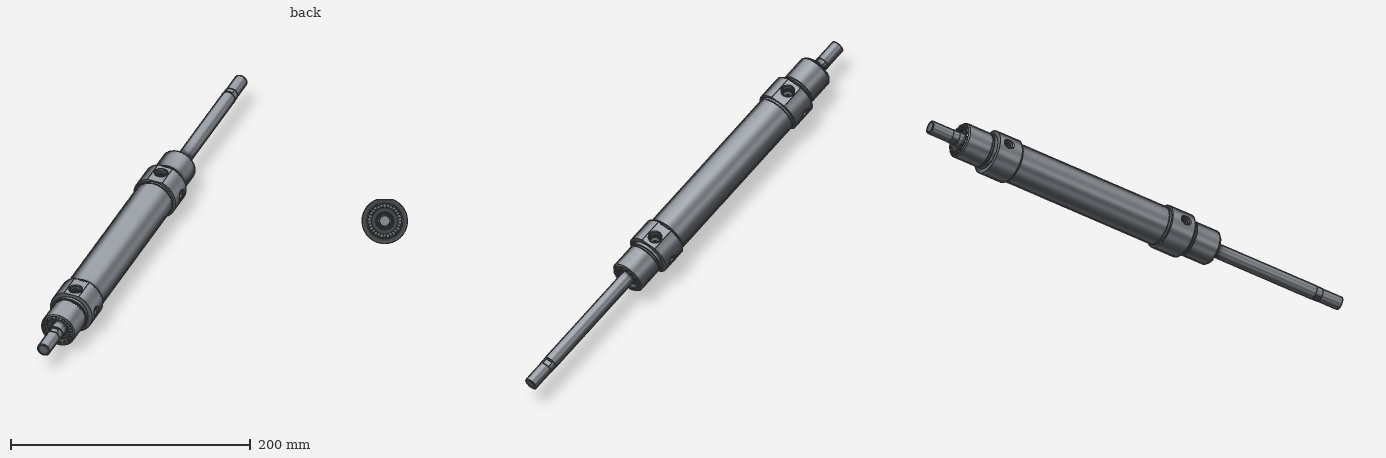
import cadquery as cq
import math


OVERALL_LENGTH = 412
OVERALL_HEIGHT = 36.5
LONG_ROD_LENGTH = 256.0
SHORT_ROD_LENGTH = OVERALL_LENGTH - LONG_ROD_LENGTH

ROD_D = 12.0
NECK_D = 11.5
THREAD_D = 11.0
TIP_D = 8.5
TIP_CHAMFER_LENGTH = 0.5
THREAD_LENGTH = 20.0
NECK_LENGTH = 6.0
FLATS_LENGTH = 5.0
FLATS_ACROSS = 10.0

TUBE_D = 33.8
TUBE_BORE_D = 32.0
TUBE_LENGTH = 147.5

LIP_START = TUBE_LENGTH / 2
COLLAR_START = 76.0
COLLAR_END = 98.0
GROOVE_START = 101.0
GROOVE_END = 103
NOSE_END = 127.7

COLLAR_D = 38.0
NOSE_D = 30.0
GROOVE_D = 28.0
RECESS_D = 22.0
RIM_D = 28.0
RIM_HEIGHT = 1.2
NOSE_CHAMFER = (NOSE_D - RIM_D) / 2
RIM_START = NOSE_END - RIM_HEIGHT
RECESS_DEPTH = 5.0
SEAL_SEAT_D = 15.2
SEAL_SEAT_DEPTH = 1.2
ROD_CLEARANCE_D = 13.0
ROD_CLEARANCE_DEPTH = 4

SLOT_COUNT = 15
SLOT_ANGLE = 180 / SLOT_COUNT

COLLAR_FLAT_Z = OVERALL_HEIGHT - COLLAR_D / 2
HOLES_Y = 89.0
PORT_RIM_D = 11.5
PORT_D = 10.0
PORT_DEPTH = 5.0
PORT_DRILL_D = 8.5
PORT_DRILL_DEPTH = 8.2
AIR_PASSAGE_D = 3.0
MOUNT_RIM_D = 10.0
MOUNT_D = 8.0
MOUNT_DEPTH = 3.5
MOUNT_DRILL_D = 7.0
MOUNT_DRILL_DEPTH = 6.0


def turned(profile):
    """Solid of revolution about Y from (radius, y) points; the outline is closed along the axis."""
    first_y = profile[0][1]
    last_y = profile[-1][1]
    outline = [(0, first_y), *profile, (0, last_y)]
    return cq.Workplane("XY").polyline(outline).close().revolve(360, (0, 0, 0), (0, 1, 0))


def cylinder(diameter, start, end):
    """Cylinder on the Y axis."""
    return turned([(diameter / 2, start), (diameter / 2, end)])


def make_tube():
    half = TUBE_LENGTH / 2
    return cylinder(TUBE_D, -half, half).cut(cylinder(TUBE_BORE_D, -half, half))


def make_rod(length):
    """Rod from the middle of the cylinder to its threaded tip, with two wrench flats on the neck."""
    thread_start = length - THREAD_LENGTH
    neck_start = thread_start - NECK_LENGTH
    rod = turned([
        (ROD_D / 2, 0),
        (ROD_D / 2, neck_start),
        (NECK_D / 2, neck_start),
        (NECK_D / 2, thread_start),
        (THREAD_D / 2, thread_start),
        (THREAD_D / 2, length - TIP_CHAMFER_LENGTH),
        (TIP_D / 2, length),
    ])
    around_neck = cq.Workplane("XY").box(ROD_D, FLATS_LENGTH, ROD_D)
    between_flats = cq.Workplane("XY").box(ROD_D, FLATS_LENGTH, FLATS_ACROSS)
    flats_y = thread_start - FLATS_LENGTH / 2
    return rod.cut(around_neck.cut(between_flats).translate((0, flats_y, 0)))


def make_head_blank():
    """Turned outside of a head: lip, collar, relief groove and chamfered nose up to its rounded rim."""
    return turned([
        (TUBE_D / 2, LIP_START),
        (TUBE_D / 2, COLLAR_START),
        (COLLAR_D / 2, COLLAR_START),
        (COLLAR_D / 2, COLLAR_END),
        (NOSE_D / 2, COLLAR_END),
        (NOSE_D / 2, GROOVE_START),
        (GROOVE_D / 2, GROOVE_START),
        (GROOVE_D / 2, GROOVE_END),
        (NOSE_D / 2, GROOVE_END),
        (NOSE_D / 2, RIM_START - NOSE_CHAMFER),
        (RIM_D / 2, RIM_START),
    ])


def make_head_bore():
    """Rod hole widening through the seal seat into the recess of the nose."""
    recess_floor = NOSE_END - RECESS_DEPTH
    clearance_floor = recess_floor - ROD_CLEARANCE_DEPTH
    return turned([
        (ROD_D / 2, LIP_START),
        (ROD_D / 2, clearance_floor),
        (ROD_CLEARANCE_D / 2, clearance_floor),
        (ROD_CLEARANCE_D / 2, recess_floor - SEAL_SEAT_DEPTH),
        (SEAL_SEAT_D / 2, recess_floor),
        (RECESS_D / 2, recess_floor),
        (RECESS_D / 2, NOSE_END),
    ])


def make_rim_slots():
    """Evenly spaced wedges, as deep as the rim is high; the first is centred on +Z."""
    reach = NOSE_D
    half_width = reach * math.tan(math.radians(SLOT_ANGLE / 2))
    wedge = (
        cq.Workplane("XZ", origin=(0, NOSE_END, 0))
        .polyline([(0, 0), (-half_width, reach), (half_width, reach)])
        .close()
        .extrude(RIM_HEIGHT)
    )
    pitch = 360 / SLOT_COUNT
    return [wedge.rotate((0, 0, 0), (0, 1, 0), i * pitch) for i in range(SLOT_COUNT)]


def make_rim():
    """Rounded end of the nose, between its chamfer and its recess, slotted into teeth."""
    crest_radius = (RIM_D + RECESS_D) / 4
    rim = (
        cq.Workplane("XY")
        .moveTo(RECESS_D / 2, RIM_START)
        .threePointArc((crest_radius, NOSE_END), (RIM_D / 2, RIM_START))
        .close()
        .revolve(360, (0, 0, 0), (0, 1, 0))
    )
    for slot in make_rim_slots():
        rim = rim.cut(slot)
    return rim


def make_stepped_hole(rim_diameter, diameter, depth, drill_diameter, drill_depth):
    """Hole along -Z from the origin: a 45 degree countersink, then a bore that steps down to a drill hole."""
    sink = (rim_diameter - diameter) / 2
    outline = [
        (0, 0),
        (rim_diameter / 2, 0),
        (diameter / 2, -sink),
        (diameter / 2, -depth),
        (drill_diameter / 2, -depth),
        (drill_diameter / 2, -drill_depth),
        (0, -drill_depth),
    ]
    return cq.Workplane("XZ").polyline(outline).close().revolve(360, (0, 0, 0), (0, 1, 0))


def make_head():
    head = make_head_blank().union(make_rim())

    above_flat = cq.Workplane("XY").box(COLLAR_D, NOSE_END, COLLAR_D, centered=(True, False, False))
    head = head.cut(above_flat.translate((0, 0, COLLAR_FLAT_Z)))

    head = head.cut(make_head_bore())

    port = make_stepped_hole(PORT_RIM_D, PORT_D, PORT_DEPTH, PORT_DRILL_D, PORT_DRILL_DEPTH)
    passage = cq.Workplane("XY").circle(AIR_PASSAGE_D / 2).extrude(-COLLAR_FLAT_Z)
    head = head.cut(port.union(passage).translate((0, HOLES_Y, COLLAR_FLAT_Z)))

    mount = make_stepped_hole(MOUNT_RIM_D, MOUNT_D, MOUNT_DEPTH, MOUNT_DRILL_D, MOUNT_DRILL_DEPTH)
    mount = mount.translate((0, HOLES_Y, COLLAR_D / 2))
    for side in (-90, 90):
        head = head.cut(mount.rotate((0, 0, 0), (0, 1, 0), side))
    return head


tube = make_tube()
back_head = make_head()
front_head = back_head.mirror("XZ")
long_rod = make_rod(LONG_ROD_LENGTH)
short_rod = make_rod(SHORT_ROD_LENGTH).mirror("XZ")

result = cq.Compound.makeCompound([
    tube.val(),
    back_head.val(),
    front_head.val(),
    long_rod.val(),
    short_rod.val(),
])